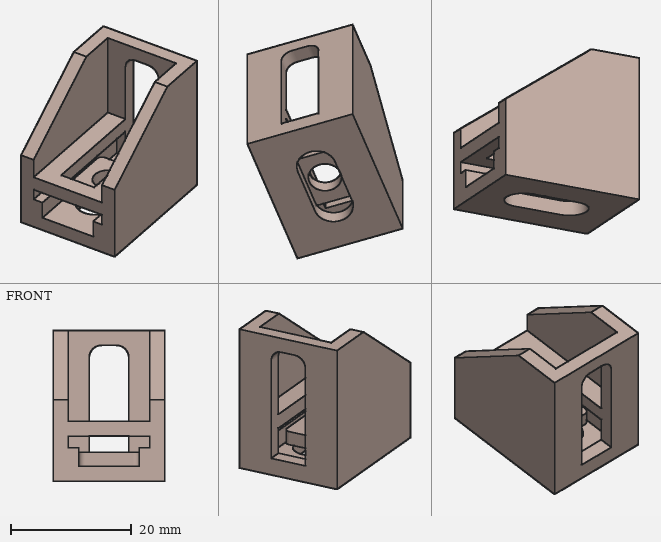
import cadquery as cq

LENGTH = 25.0
HEIGHT = 25.0
WIDTH = 18.5
WALL = 2.5

SLOPE_TOP_Y = 16.0
SLOPE_FRONT_Z = 13.5

FLOOR_TOP = 10.0
FLOOR_BOTTOM = FLOOR_TOP - WALL
INNER_WIDTH = WIDTH - 2 * WALL
INNER_LENGTH = LENGTH - WALL

CHANNEL_WIDTH = 10.0
LEDGE_Z = 5.55

SLOT_WIDTH = 6.5
WINDOW_FRONT_Y = 3.0
BASE_SLOT_LENGTH = 15.0
REAR_OPENING_BOTTOM = 3.0
REAR_OPENING_TOP = 22.5
REAR_OPENING_RADIUS = 2.0

NUT_LENGTH = 10.0
NUT_HEIGHT = 2.35
NUT_CORNER_RADIUS = 1.0
NUT_HOLE_DIAMETER = 5.5
CENTER_Y = LENGTH / 2


def block(width, y_start, y_end, z_start, z_end):
    """Box centred on X = 0 between the given Y and Z limits."""
    return (
        cq.Workplane("XY")
        .box(width, y_end - y_start, z_end - z_start, centered=(True, False, False))
        .translate((0, y_start, z_start))
    )


def make_bracket():
    body = (
        cq.Workplane("YZ")
        .polyline([
            (0, 0),
            (LENGTH, 0),
            (LENGTH, HEIGHT),
            (SLOPE_TOP_Y, HEIGHT),
            (0, SLOPE_FRONT_Z),
        ])
        .close()
        .extrude(WIDTH / 2, both=True)
    )

    body = body.cut(block(INNER_WIDTH, 0, INNER_LENGTH, FLOOR_TOP, HEIGHT))

    body = body.cut(block(INNER_WIDTH, 0, INNER_LENGTH, LEDGE_Z, FLOOR_BOTTOM))
    body = body.cut(block(CHANNEL_WIDTH, 0, INNER_LENGTH, WALL, LEDGE_Z))

    body = body.cut(block(SLOT_WIDTH, WINDOW_FRONT_Y, INNER_LENGTH, FLOOR_BOTTOM, FLOOR_TOP))

    base_slot = (
        cq.Workplane("XY")
        .center(0, CENTER_Y)
        .slot2D(BASE_SLOT_LENGTH, SLOT_WIDTH, 90)
        .extrude(WALL)
    )
    body = body.cut(base_slot)

    rear_opening = (
        block(SLOT_WIDTH, INNER_LENGTH, LENGTH, REAR_OPENING_BOTTOM, REAR_OPENING_TOP)
        .faces(">Z")
        .edges("|Y")
        .fillet(REAR_OPENING_RADIUS)
    )
    return body.cut(rear_opening)


def make_nut():
    """Rounded block resting on the channel floor, with a through hole."""
    nut = block(
        CHANNEL_WIDTH,
        CENTER_Y - NUT_LENGTH / 2,
        CENTER_Y + NUT_LENGTH / 2,
        WALL,
        WALL + NUT_HEIGHT,
    )
    nut = nut.edges("|Z").fillet(NUT_CORNER_RADIUS)
    return nut.faces(">Z").workplane(centerOption="CenterOfBoundBox").hole(NUT_HOLE_DIAMETER)


bracket = make_bracket()
nut = make_nut()

result = cq.Compound.makeCompound([bracket.val(), nut.val()])